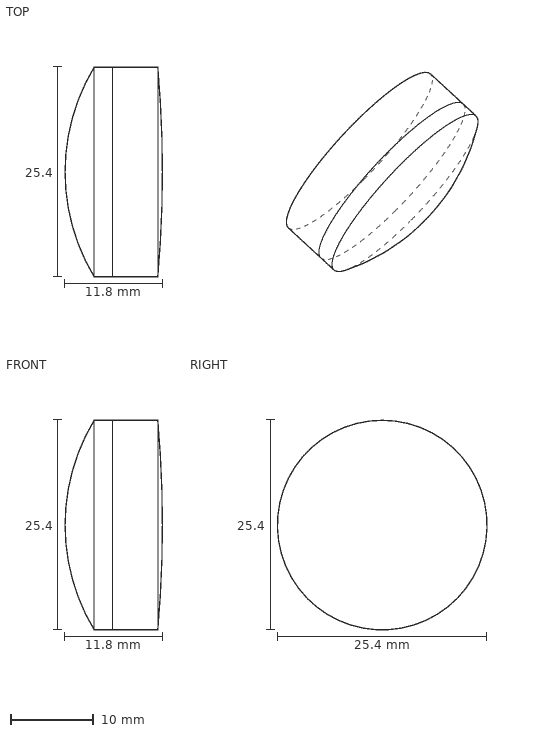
import cadquery as cq

lens_diameter = 25.4
overall_thickness = 11.8
front_sag = 3.53
back_sag = 0.55
front_rim_width = 2.2

lens_radius = lens_diameter / 2
back_rim_width = overall_thickness - front_sag - front_rim_width - back_sag

joint_x = 0.0


def domed_element(rim_x, sag):
    """Disc from the joint to rim_x, closed by a spherical dome that rises by sag.

    A negative sag makes the dome rise toward -X.
    """
    apex_x = rim_x + sag
    sphere_radius = (lens_radius**2 + sag**2) / (2 * sag)
    center_x = apex_x - sphere_radius
    middle_height = lens_radius / 2
    direction = 1 if sag > 0 else -1
    middle_x = center_x + direction * (sphere_radius**2 - middle_height**2) ** 0.5
    return (
        cq.Workplane("XZ")
        .moveTo(joint_x, 0)
        .lineTo(joint_x, lens_radius)
        .lineTo(rim_x, lens_radius)
        .threePointArc((middle_x, middle_height), (apex_x, 0))
        .close()
        .revolve(360, (0, 0, 0), (1, 0, 0))
    )


front_element = domed_element(joint_x - front_rim_width, -front_sag)
back_element = domed_element(joint_x + back_rim_width, back_sag)

result = cq.Compound.makeCompound([front_element.val(), back_element.val()])